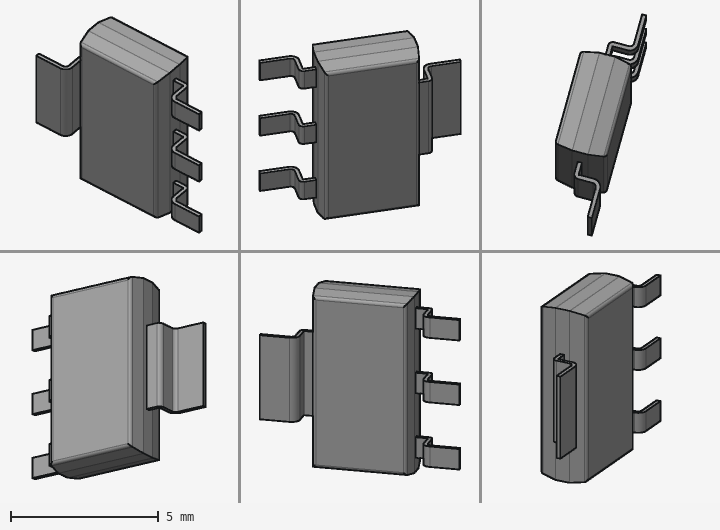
import cadquery as cq
import math


BODY_WIDTH = 3.5
BODY_THICKNESS = 1.8
BODY_LENGTH = 6.3
BAND_THICKNESS = 0.55
DRAFT_ANGLE = 10
BODY_EDGE_RADIUS = 0.12

SPAN = 7.0
SHEET_THICKNESS = 0.15
LEG_INNER_X = 2.175
SHOULDER_INNER_RADIUS = 0.015
FOOT_INNER_RADIUS = 0.14
TAB_WIDTH = 3.0
PIN_WIDTH = 0.73
PIN_PITCH = 2.3
PIN_COUNT = 3

BODY_FACE_X = BODY_WIDTH / 2
TIP_X = SPAN / 2
LEG_OUTER_X = LEG_INNER_X + SHEET_THICKNESS
SHOULDER_TOP_Y = SHEET_THICKNESS / 2
SHOULDER_BOTTOM_Y = -SHOULDER_TOP_Y
FOOT_BOTTOM_Y = -BODY_THICKNESS / 2
FOOT_TOP_Y = FOOT_BOTTOM_Y + SHEET_THICKNESS
SHOULDER_OUTER_RADIUS = SHOULDER_INNER_RADIUS + SHEET_THICKNESS
FOOT_OUTER_RADIUS = FOOT_INNER_RADIUS + SHEET_THICKNESS


def make_body():
    """Straight middle band with a drafted half on either side, large faces rounded."""
    half_band = BAND_THICKNESS / 2
    draft_height = (BODY_THICKNESS - BAND_THICKNESS) / 2
    band = cq.Workplane("XY").box(BODY_WIDTH, BAND_THICKNESS, BODY_LENGTH)
    front_half = (
        cq.Workplane("XZ", origin=(0, -half_band, 0))
        .rect(BODY_WIDTH, BODY_LENGTH)
        .extrude(draft_height, taper=DRAFT_ANGLE)
    )
    back_half = front_half.mirror("XZ")
    block = band.union(front_half).union(back_half)
    return block.faces("<Y or >Y").edges().fillet(BODY_EDGE_RADIUS)


def make_lead(width):
    """Z-bent strip on the +X side, centred on Z = 0, ending at the body face."""
    bend_turn = math.sqrt(0.5)

    def bend_point(corner_x, corner_y, radius, side_x, side_y):
        """Middle of a 90 degree bend; side_x and side_y point from its centre to its corner."""
        inset = radius * (1 - bend_turn)
        return (corner_x - side_x * inset, corner_y - side_y * inset)

    profile = (
        cq.Workplane("XY", origin=(0, 0, -width / 2))
        .moveTo(BODY_FACE_X, SHOULDER_TOP_Y)
        .lineTo(LEG_OUTER_X - SHOULDER_OUTER_RADIUS, SHOULDER_TOP_Y)
        .threePointArc(
            bend_point(LEG_OUTER_X, SHOULDER_TOP_Y, SHOULDER_OUTER_RADIUS, 1, 1),
            (LEG_OUTER_X, SHOULDER_TOP_Y - SHOULDER_OUTER_RADIUS),
        )
        .lineTo(LEG_OUTER_X, FOOT_TOP_Y + FOOT_INNER_RADIUS)
        .threePointArc(
            bend_point(LEG_OUTER_X, FOOT_TOP_Y, FOOT_INNER_RADIUS, -1, -1),
            (LEG_OUTER_X + FOOT_INNER_RADIUS, FOOT_TOP_Y),
        )
        .lineTo(TIP_X, FOOT_TOP_Y)
        .lineTo(TIP_X, FOOT_BOTTOM_Y)
        .lineTo(LEG_INNER_X + FOOT_OUTER_RADIUS, FOOT_BOTTOM_Y)
        .threePointArc(
            bend_point(LEG_INNER_X, FOOT_BOTTOM_Y, FOOT_OUTER_RADIUS, -1, -1),
            (LEG_INNER_X, FOOT_BOTTOM_Y + FOOT_OUTER_RADIUS),
        )
        .lineTo(LEG_INNER_X, SHOULDER_BOTTOM_Y - SHOULDER_INNER_RADIUS)
        .threePointArc(
            bend_point(LEG_INNER_X, SHOULDER_BOTTOM_Y, SHOULDER_INNER_RADIUS, 1, 1),
            (LEG_INNER_X - SHOULDER_INNER_RADIUS, SHOULDER_BOTTOM_Y),
        )
        .lineTo(BODY_FACE_X, SHOULDER_BOTTOM_Y)
        .close()
    )
    return profile.extrude(width)


body = make_body()

tab = make_lead(TAB_WIDTH).mirror("YZ")

pins = []
for index in range(PIN_COUNT):
    pin_z = (index - (PIN_COUNT - 1) / 2) * PIN_PITCH
    pins.append(make_lead(PIN_WIDTH).translate((0, 0, pin_z)))

result = cq.Compound.makeCompound([body.val(), tab.val(), *[pin.val() for pin in pins]])